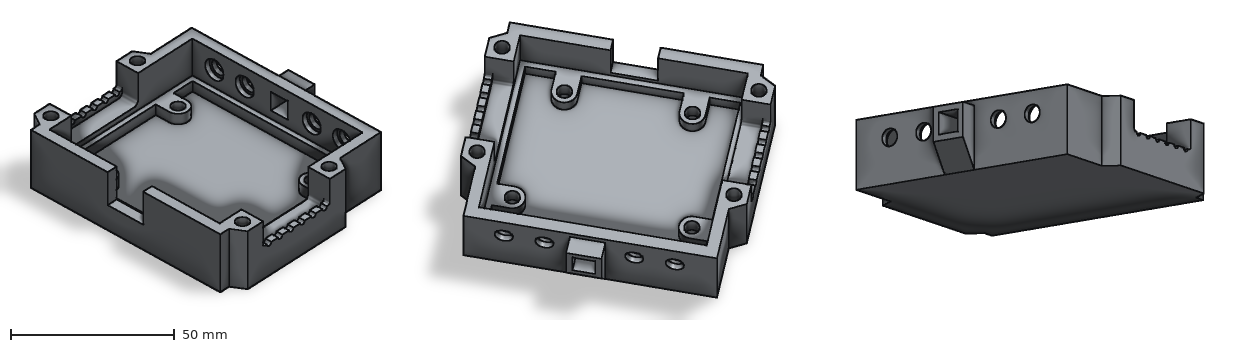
import cadquery as cq
import math

HEIGHT = 22.0
OVERALL_WIDTH = 89.0
OVERALL_DEPTH = 78.0
TAB_LENGTH = 6.0
BODY_DEPTH = OVERALL_DEPTH - TAB_LENGTH
BODY_WIDTH = 78.9
CAVITY_WIDTH = 70.9
WALL = 4.0

LEDGE_Z = 8.0
FLOOR_Z = 4.0
LEDGE_WIDTH = 2.0
REAR_LEDGE_WIDTH = 2.05

EAR_SLOPE_ANGLE = 30.0
EAR_FRONT_Y = 3.9
EAR_REAR_Y = 53.7

SCREW_HOLE_DIAMETER = 4.7
EAR_HOLE_X = 40.0
EAR_HOLE_Y_POSITIONS = (9.4, 48.2)
EAR_HOLE_DEPTH = 13.35
DRILL_TIP_ANGLE = 118.0

SUPPORT_WIDTH = 8.0
SUPPORT_HOLE_DEPTH = 5.0
SIDE_SUPPORT_X = 27.95
SIDE_SUPPORT_Y = 53.5
FRONT_SUPPORT_X = 19.9
FRONT_SUPPORT_Y = 12.55

OPENING_WIDTH = 29.9
OPENING_CENTER_Y = 28.75
CHANNEL_Z = 10.0
CHANNEL_RADIUS = 2.0
RIB_THICKNESS = 2.5
RIB_Z = 12.3
RIB_CORNER_RADIUS = 1.0
NOTCH_RADIUS = 1.0
NOTCH_PITCH = 5.0
NOTCH_COUNT = 6
NOTCH_CENTER_Y = 28.9

FRONT_CUTOUT_WIDTH = 14.8
FRONT_CUTOUT_X = -0.1
FRONT_CUTOUT_Z = 9.5

TAB_SIZE = 11.0
WINDOW_SIZE = 7.0
WINDOW_X = 0.8
WINDOW_Z = 14.7

REAR_HOLE_DIAMETER = 5.6
COUNTERBORE_DIAMETER = 7.6
COUNTERBORE_DEPTH = 2.0
REAR_HOLE_OFFSETS = (14.0, 26.6)
REAR_HOLE_CENTER_X = 0.3


def block(x_range, y_range, z_range):
    """Rectangular block between the given pairs of limits."""
    size = [high - low for low, high in (x_range, y_range, z_range)]
    return cq.Workplane("XY").box(*size, centered=False).translate((x_range[0], y_range[0], z_range[0]))


def body_outline():
    """Corner points of the body seen from above, ears included."""
    half_body = BODY_WIDTH / 2
    half_overall = OVERALL_WIDTH / 2
    slope = (half_overall - half_body) * math.tan(math.radians(EAR_SLOPE_ANGLE))
    right_side = [
        (half_body, 0),
        (half_body, EAR_FRONT_Y),
        (half_overall, EAR_FRONT_Y + slope),
        (half_overall, EAR_REAR_Y - slope),
        (half_body, EAR_REAR_Y),
        (half_body, BODY_DEPTH),
    ]
    left_side = [(-x, y) for x, y in reversed(right_side)]
    return right_side + left_side


def rear_tab():
    """Tab behind the rear wall, its underside sloping down to the base."""
    top = WINDOW_Z + TAB_SIZE / 2
    side_profile = [
        (BODY_DEPTH, 0),
        (OVERALL_DEPTH, top - TAB_SIZE),
        (OVERALL_DEPTH, top),
        (BODY_DEPTH, top),
    ]
    tab = cq.Workplane("YZ").polyline(side_profile).close().extrude(TAB_SIZE)
    return tab.translate((WINDOW_X - TAB_SIZE / 2, 0, 0))


def support(x, y, wall_x, wall_y):
    """Round-ended support joining the ledge at the point (wall_x, wall_y)."""
    half = SUPPORT_WIDTH / 2
    height = LEDGE_Z - FLOOR_Z
    post = cq.Workplane("XY", origin=(x, y, FLOOR_Z)).circle(half).extrude(height)
    if wall_x == x:
        arm = block((x - half, x + half), (wall_y, y), (FLOOR_Z, LEDGE_Z))
    else:
        arm = block((min(x, wall_x), max(x, wall_x)), (y - half, y + half), (FLOOR_Z, LEDGE_Z))
    return post.union(arm)


def screw_hole(x, y, top_z, depth):
    """Blind hole with a conical bottom; depth is that of the cylindrical part."""
    radius = SCREW_HOLE_DIAMETER / 2
    tip = radius / math.tan(math.radians(DRILL_TIP_ANGLE / 2))
    profile = [(0, 0), (radius, 0), (radius, -depth), (0, -depth - tip)]
    hole = cq.Workplane("XZ").polyline(profile).close().revolve(360, (0, 0), (0, 1))
    return hole.translate((x, y, top_z))


def side_opening():
    """Cut for the right-hand opening: inner channel and the notched space above the rib."""
    y_range = (OPENING_CENTER_Y - OPENING_WIDTH / 2, OPENING_CENTER_Y + OPENING_WIDTH / 2)
    outer_x = OVERALL_WIDTH / 2
    rib_x = outer_x - RIB_THICKNESS
    channel = block((CAVITY_WIDTH / 2, rib_x), y_range, (CHANNEL_Z, HEIGHT))
    channel = channel.edges("|X and <Z").fillet(CHANNEL_RADIUS)
    above_rib = block((rib_x, outer_x), y_range, (RIB_Z, HEIGHT))
    above_rib = above_rib.edges("|X and <Z").fillet(RIB_CORNER_RADIUS)
    opening = channel.union(above_rib)
    for index in range(NOTCH_COUNT):
        y = NOTCH_CENTER_Y + (index - (NOTCH_COUNT - 1) / 2) * NOTCH_PITCH
        notch = cq.Workplane("YZ", origin=(rib_x, y, RIB_Z)).circle(NOTCH_RADIUS).extrude(RIB_THICKNESS)
        opening = opening.union(notch)
    return opening


def rear_hole(x):
    """Round hole through the rear wall, widened on its inner face."""
    inner_face = cq.Workplane("XZ", origin=(x, BODY_DEPTH - WALL, WINDOW_Z))
    through = inner_face.circle(REAR_HOLE_DIAMETER / 2).extrude(-WALL)
    counterbore = inner_face.circle(COUNTERBORE_DIAMETER / 2).extrude(-COUNTERBORE_DEPTH)
    return through.union(counterbore)


half_cavity = CAVITY_WIDTH / 2
half_pocket = half_cavity - LEDGE_WIDTH
pocket_front_y = WALL + LEDGE_WIDTH
pocket_rear_y = BODY_DEPTH - WALL - REAR_LEDGE_WIDTH
result = cq.Workplane("XY").polyline(body_outline()).close().extrude(HEIGHT)
result = result.cut(block((-half_cavity, half_cavity), (WALL, BODY_DEPTH - WALL), (LEDGE_Z, HEIGHT)))
result = result.cut(block((-half_pocket, half_pocket), (pocket_front_y, pocket_rear_y), (FLOOR_Z, LEDGE_Z)))
result = result.union(rear_tab())

opening = side_opening()
result = result.cut(opening).cut(opening.mirror("YZ"))
for side in (-1, 1):
    side_x = side * SIDE_SUPPORT_X
    front_x = side * FRONT_SUPPORT_X
    result = result.union(support(side_x, SIDE_SUPPORT_Y, side * half_pocket, SIDE_SUPPORT_Y))
    result = result.union(support(front_x, FRONT_SUPPORT_Y, front_x, pocket_front_y))
    for x, y in ((side_x, SIDE_SUPPORT_Y), (front_x, FRONT_SUPPORT_Y)):
        result = result.cut(screw_hole(x, y, LEDGE_Z, SUPPORT_HOLE_DEPTH))
    for y in EAR_HOLE_Y_POSITIONS:
        result = result.cut(screw_hole(side * EAR_HOLE_X, y, HEIGHT, EAR_HOLE_DEPTH))
    for offset in REAR_HOLE_OFFSETS:
        result = result.cut(rear_hole(REAR_HOLE_CENTER_X + side * offset))

cutout_x_range = (FRONT_CUTOUT_X - FRONT_CUTOUT_WIDTH / 2, FRONT_CUTOUT_X + FRONT_CUTOUT_WIDTH / 2)
result = result.cut(block(cutout_x_range, (0, WALL), (FRONT_CUTOUT_Z, HEIGHT)))

half_window = WINDOW_SIZE / 2
window_x_range = (WINDOW_X - half_window, WINDOW_X + half_window)
window_z_range = (WINDOW_Z - half_window, WINDOW_Z + half_window)
result = result.cut(block(window_x_range, (BODY_DEPTH - WALL, OVERALL_DEPTH), window_z_range))